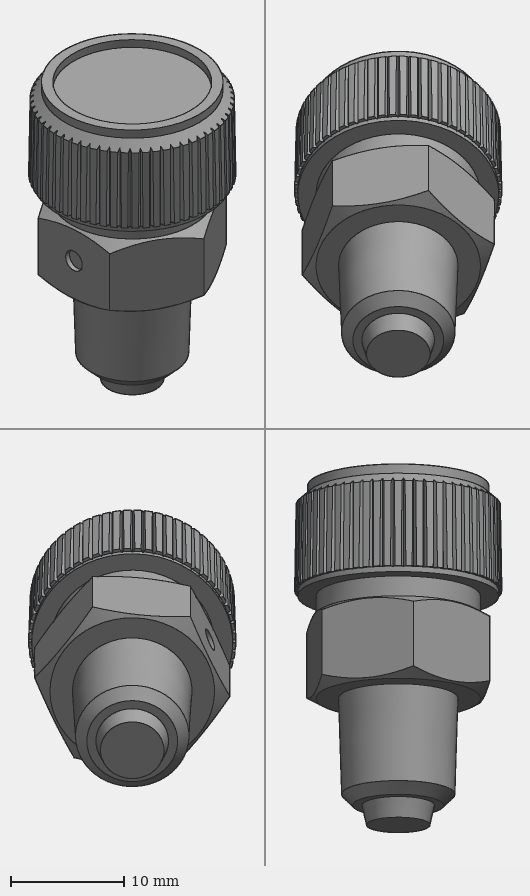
import cadquery as cq
import math

tip_length = 1.78
shank_chamfer_height = 1.0
hex_bottom_z = 11.5
hex_height = 7.5
knob_bottom_z = 20.8
collar_height = 0.5
knob_height = 10.0
rim_height = 0.85
knob_bevel_height = 0.9

tip_end_radius = 2.8
tip_root_radius = 3.2
shank_end_radius = 4.0
shank_bottom_radius = 5.0
shank_top_radius = 5.27
neck_radius = 7.25
collar_radius = 8.86
knurl_bottom_radius = 9.14
knurl_top_radius = 9.01
rim_radius = 8.0

hex_sides = 6
hex_across_flats = 15.0
hex_chamfer_angle = 30.0

recess_radius = 7.0
recess_depth = 0.8

groove_count = 60
groove_root_radius = 8.71
groove_half_angle = 25.0
groove_mouth_clearance = 0.5

mark_hole_diameter = 2.0
mark_hole_depth = 0.5
mark_hole_z = 15.6

hex_top_z = hex_bottom_z + hex_height
hex_corner_radius = hex_across_flats / 2 / math.cos(math.pi / hex_sides)
hex_chamfer_height = (hex_corner_radius - neck_radius) * math.tan(math.radians(hex_chamfer_angle))
collar_top_z = knob_bottom_z + collar_height
knob_top_z = knob_bottom_z + knob_height
rim_bottom_z = knob_top_z - rim_height
knurl_top_z = rim_bottom_z - knob_bevel_height


def revolve_profile(points):
    """Turn a closed (radius, z) outline about the Z axis."""
    return cq.Workplane("XZ").polyline(points).close().revolve(360, (0, 0, 0), (0, 1, 0))


def make_shank():
    """Tapered shank with a conical tip below the hexagon."""
    return revolve_profile([
        (0, 0),
        (tip_end_radius, 0),
        (tip_root_radius, tip_length),
        (shank_end_radius, tip_length),
        (shank_bottom_radius, tip_length + shank_chamfer_height),
        (shank_top_radius, hex_bottom_z),
        (0, hex_bottom_z),
    ])


def make_hexagon():
    """Hexagon with flats facing +Y and -Y, its corners chamfered at both ends."""
    prism = (
        cq.Workplane("XY", origin=(0, 0, hex_bottom_z))
        .polygon(hex_sides, 2 * hex_corner_radius)
        .extrude(hex_height)
    )
    chamfer_envelope = revolve_profile([
        (0, hex_bottom_z),
        (neck_radius, hex_bottom_z),
        (hex_corner_radius, hex_bottom_z + hex_chamfer_height),
        (hex_corner_radius, hex_top_z - hex_chamfer_height),
        (neck_radius, hex_top_z),
        (0, hex_top_z),
    ])
    return prism.intersect(chamfer_envelope)


def make_neck():
    """Plain cylinder between the hexagon and the knob."""
    return (
        cq.Workplane("XY", origin=(0, 0, hex_top_z))
        .circle(neck_radius)
        .extrude(knob_bottom_z - hex_top_z)
    )


def make_knob_blank():
    """Slightly tapered knob with a collar below, a bevel and a rim above, before knurling."""
    return revolve_profile([
        (0, knob_bottom_z),
        (collar_radius, knob_bottom_z),
        (collar_radius, collar_top_z),
        (knurl_bottom_radius, collar_top_z),
        (knurl_top_radius, knurl_top_z),
        (rim_radius, rim_bottom_z),
        (rim_radius, knob_top_z),
        (0, knob_top_z),
    ])


def make_knurl_grooves():
    """Vertical V grooves around the knob, running out through the bevel."""
    mouth_radius = knurl_bottom_radius + groove_mouth_clearance
    mouth_half_width = (mouth_radius - groove_root_radius) * math.tan(math.radians(groove_half_angle))
    groove = (
        cq.Workplane("XY", origin=(0, 0, collar_top_z))
        .polyline([
            (groove_root_radius, 0),
            (mouth_radius, -mouth_half_width),
            (mouth_radius, mouth_half_width),
        ])
        .close()
        .extrude(rim_bottom_z - collar_top_z)
        .val()
    )
    pitch = 360 / groove_count
    return [groove.rotate((0, 0, 0), (0, 0, 1), i * pitch) for i in range(groove_count)]


def make_recess():
    """Shallow round pocket in the top face."""
    return (
        cq.Workplane("XY", origin=(0, 0, knob_top_z))
        .circle(recess_radius)
        .extrude(-recess_depth)
    )


def make_mark_hole():
    """Shallow blind hole in the -Y flat of the hexagon."""
    return (
        cq.Workplane("XZ", origin=(0, -hex_across_flats / 2, mark_hole_z))
        .circle(mark_hole_diameter / 2)
        .extrude(-mark_hole_depth)
    )


knob = cq.Workplane(make_knob_blank().val().cut(*make_knurl_grooves())).cut(make_recess())
base = make_shank().union(make_hexagon().cut(make_mark_hole())).union(make_neck())
result = base.union(knob)